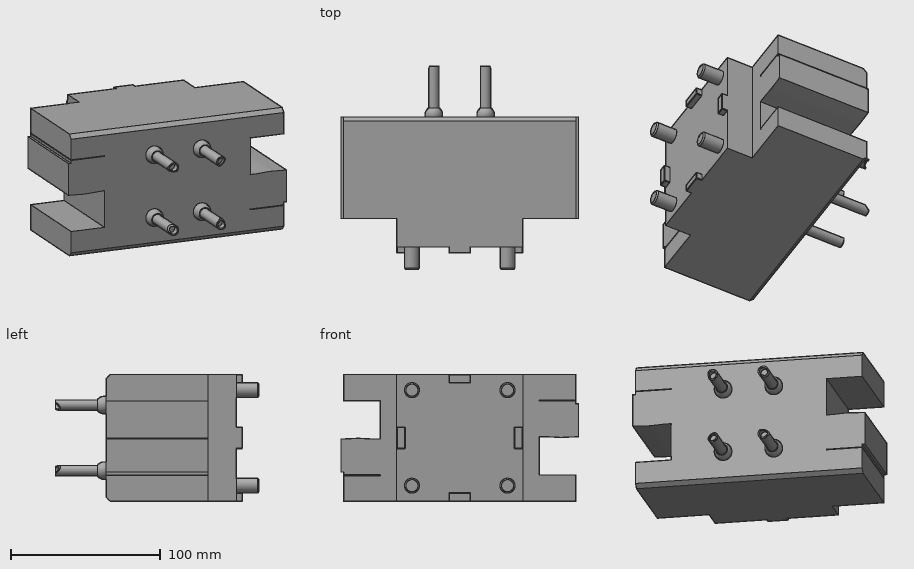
import cadquery as cq
import math

overall_width = 159.0
body_width = 155.1
body_height = 85.0
body_front = 19.0
body_back = 87.1
back_chamfer = 2.9
neck_width = 84.4

opening_floor_x = 53.2
opening_half_height = 24.8
jaw_face = -0.72
jaw_lip_bottom = -22.9
ridge_rise = 0.5
ridge_center_x = 67.9
ridge_flat = 2.0
ridge_foot_x = 57.2
gap_height = 0.5

key_length = 14.6
key_width = 5.9
key_height = 4.1
key_chamfer = 0.5

pin_diameter = 10.0
pin_length = 15.1
pin_offset = 32.0
pin_chamfer = 1.0

cable_x = 17.3
cable_z = 22.0
cable_diameter = 7.0
cable_bore = 5.1
bore_depth = 4.8
cable_length = 33.9
bulb_radius = 5.96
bulb_length = 5.7
bulb_center_offset = 1.3
trim_start = 0.6
trim_angle = 50.0


def box_between(x_range, y_range, z_range):
    """Axis-aligned box given by its low and high limits along each axis."""
    limits = (x_range, y_range, z_range)
    sizes = [high - low for low, high in limits]
    corner = tuple(low for low, high in limits)
    return cq.Workplane("XY").box(*sizes, centered=False).translate(corner)


def extrude_xz(points, y_low, y_high):
    """Prism along Y from an outline given as (x, z) points."""
    prism = cq.Workplane("XZ").polyline(points).close().extrude(y_low - y_high)
    return prism.translate((0, y_low, 0))


def make_body():
    half_height = body_height / 2
    main = box_between(
        (-body_width / 2, body_width / 2), (body_front, body_back), (-half_height, half_height)
    )
    main = main.edges("|X and >Y").chamfer(back_chamfer)
    neck = box_between((-neck_width / 2, neck_width / 2), (0, body_front), (-half_height, half_height))
    return main.union(neck)


def make_opening():
    """Left side opening, cut before the jaw is put in it."""
    return box_between(
        (-overall_width / 2, -opening_floor_x),
        (body_front, body_back),
        (-opening_half_height - gap_height, opening_half_height),
    )


def make_jaw():
    """Left jaw: a low roof-shaped ridge on top, a lip on the outer side."""
    jaw_bottom = -opening_half_height
    outer_x = -overall_width / 2
    outline = [
        (outer_x, jaw_lip_bottom),
        (outer_x, jaw_face),
        (-ridge_center_x - ridge_flat / 2, jaw_face + ridge_rise),
        (-ridge_center_x + ridge_flat / 2, jaw_face + ridge_rise),
        (-ridge_foot_x, jaw_face),
        (-opening_floor_x, jaw_face),
        (-opening_floor_x, jaw_bottom),
        (-body_width / 2, jaw_bottom),
        (-body_width / 2, jaw_lip_bottom),
    ]
    return extrude_xz(outline, body_front, body_back)


def make_key(center_x, center_z, size_x, size_z):
    key = box_between(
        (center_x - size_x / 2, center_x + size_x / 2),
        (-key_height, 0),
        (center_z - size_z / 2, center_z + size_z / 2),
    )
    return key.edges("|Y or <Y").chamfer(key_chamfer)


def make_pin(x, z):
    pin = cq.Workplane("XZ").center(x, z).circle(pin_diameter / 2).extrude(pin_length)
    return pin.faces("<Y").chamfer(pin_chamfer)


def make_cable(side_x, side_z):
    """Bored cable with a rounded bulb at its root and a slanted trim at its end."""
    ball = cq.Workplane("XY").sphere(bulb_radius).translate((0, bulb_center_offset, 0))
    bulb_limits = (-bulb_radius, bulb_radius)
    bulb = ball.intersect(box_between(bulb_limits, (0, bulb_length), bulb_limits))
    cable = cq.Workplane("XZ").circle(cable_diameter / 2).extrude(-cable_length)
    bore = cq.Workplane("XZ").circle(cable_bore / 2).extrude(-bore_depth)
    bore = bore.translate((0, cable_length - bore_depth, 0))

    trim_depth = (cable_diameter - trim_start) * math.tan(math.radians(trim_angle))
    trim = (
        cq.Workplane("XY")
        .polyline([
            (trim_start, cable_length),
            (cable_diameter, cable_length - trim_depth),
            (cable_diameter, cable_length),
        ])
        .close()
        .extrude(cable_diameter, both=True)
    )
    trim_turn = math.degrees(math.atan2(side_z, side_x))
    trim = trim.rotate((0, 0, 0), (0, 1, 0), trim_turn)
    cable = bulb.union(cable).cut(bore).cut(trim)
    return cable.translate((side_x * cable_x, body_back, side_z * cable_z))


result = make_body()

for turn in (0, 180):
    opening = make_opening().rotate((0, 0, 0), (0, 1, 0), turn)
    jaw = make_jaw().rotate((0, 0, 0), (0, 1, 0), turn)
    result = result.cut(opening).union(jaw)

for side in (-1, 1):
    side_key_x = side * (neck_width - key_width) / 2
    end_key_z = side * (body_height - key_width) / 2
    result = result.union(make_key(side_key_x, 0, key_width, key_length))
    result = result.union(make_key(0, end_key_z, key_length, key_width))

for side_x in (-1, 1):
    for side_z in (-1, 1):
        result = result.union(make_pin(side_x * pin_offset, side_z * pin_offset))
        result = result.union(make_cable(side_x, side_z))